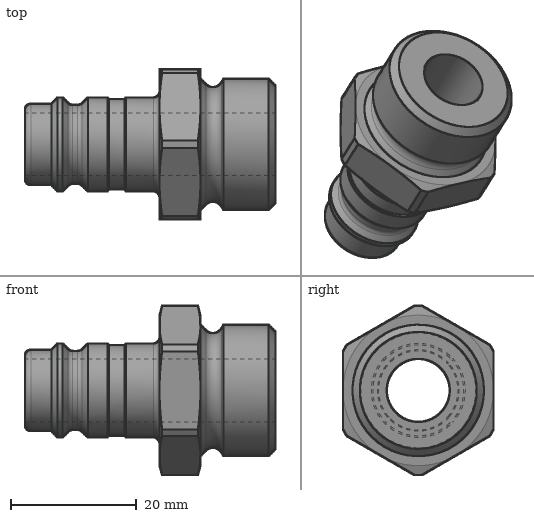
import cadquery as cq
import math


total_length = 40.0
bore_radius = 10.0 / 2

tip_radius = 13.0 / 2
tip_rounding = 1.0
shank_radius = 15.0 / 2
tip_cone_start = 4.25
groove_radius = 12.65 / 2
groove_start = 6.05
groove_end = 10.05
groove_rounding = 1.0

band_radius = 14.5 / 2
band_start = 13.15
band_end = 16.15

hex_start = 21.5
hex_end = 28.0
hex_across_flats = 24.0
hex_corner_diameter = 27.05
hex_chamfer_angle = math.radians(15)
hex_root_fillet = 1.0

thread_radius = 20.95 / 2
thread_chamfer = 1.15
undercut_radius = 9.15
undercut_rounding = 1.6
undercut_exit_angle = math.radians(60)

SLOPE = math.radians(45)


def arc_point(center, radius, angle):
    """Point on an arc, with the angle measured from straight towards the axis (+ is towards +X)."""
    return (
        center[0] + radius * math.sin(angle),
        center[1] - radius * math.cos(angle),
    )


def make_plug_end():
    """Tip, sealing groove, shank with marking band and the fillet into the hexagon."""
    tip_rise = shank_radius - tip_radius
    band_depth = shank_radius - band_radius

    wall_length = shank_radius - groove_radius
    blend_reach = groove_rounding * math.tan(SLOPE / 2)
    blend_height = groove_radius + groove_rounding
    left_blend = (groove_start + wall_length + blend_reach, blend_height)
    right_blend = (groove_end - wall_length - blend_reach, blend_height)

    tip_center = (tip_rounding, tip_radius - tip_rounding)
    fillet_center = (hex_start - hex_root_fillet, shank_radius + hex_root_fillet)

    profile = (
        cq.Workplane("XY")
        .moveTo(0, 0)
        .lineTo(0, tip_center[1])
        .threePointArc(
            arc_point(tip_center, tip_rounding, -3 * SLOPE),
            (tip_rounding, tip_radius),
        )
        .lineTo(tip_cone_start, tip_radius)
        .lineTo(tip_cone_start + tip_rise, shank_radius)
        .lineTo(groove_start, shank_radius)
        .lineTo(*arc_point(left_blend, groove_rounding, -SLOPE))
        .threePointArc(
            arc_point(left_blend, groove_rounding, -SLOPE / 2),
            arc_point(left_blend, groove_rounding, 0),
        )
        .lineTo(*arc_point(right_blend, groove_rounding, 0))
        .threePointArc(
            arc_point(right_blend, groove_rounding, SLOPE / 2),
            arc_point(right_blend, groove_rounding, SLOPE),
        )
        .lineTo(groove_end, shank_radius)
        .lineTo(band_start, shank_radius)
        .lineTo(band_start + band_depth, band_radius)
        .lineTo(band_end - band_depth, band_radius)
        .lineTo(band_end, shank_radius)
        .lineTo(fillet_center[0], shank_radius)
        .threePointArc(
            arc_point(fillet_center, hex_root_fillet, SLOPE),
            (hex_start, fillet_center[1]),
        )
        .lineTo(hex_start, 0)
        .close()
    )
    return profile.revolve(360, (0, 0, 0), (1, 0, 0))


def make_hexagon():
    """Hexagon with corners towards +Z and -Z, its corners turned down and chamfered on both faces."""
    width = hex_end - hex_start
    across_corners = hex_across_flats / math.cos(math.radians(30))
    prism = (
        cq.Workplane("YZ", origin=(hex_start, 0, 0))
        .transformed(rotate=(0, 0, 90))
        .polygon(6, across_corners)
        .extrude(width)
    )

    face_radius = hex_across_flats / 2
    corner_radius = hex_corner_diameter / 2
    chamfer_width = (corner_radius - face_radius) * math.tan(hex_chamfer_angle)
    turned_blank = (
        cq.Workplane("XY")
        .moveTo(hex_start, 0)
        .lineTo(hex_start, face_radius)
        .lineTo(hex_start + chamfer_width, corner_radius)
        .lineTo(hex_end - chamfer_width, corner_radius)
        .lineTo(hex_end, face_radius)
        .lineTo(hex_end, 0)
        .close()
        .revolve(360, (0, 0, 0), (1, 0, 0))
    )
    return prism.intersect(turned_blank)


def make_thread_end():
    """Plain thread body with the undercut behind the hexagon and a chamfered end."""
    entry_drop = thread_radius - undercut_radius - undercut_rounding * (1 - math.cos(SLOPE))
    center = (
        hex_end + entry_drop / math.tan(SLOPE) + undercut_rounding * math.sin(SLOPE),
        undercut_radius + undercut_rounding,
    )
    exit_point = arc_point(center, undercut_rounding, undercut_exit_angle)
    thread_start = exit_point[0] + (thread_radius - exit_point[1]) / math.tan(undercut_exit_angle)

    profile = (
        cq.Workplane("XY")
        .moveTo(hex_end, 0)
        .lineTo(hex_end, thread_radius)
        .lineTo(*arc_point(center, undercut_rounding, -SLOPE))
        .threePointArc(arc_point(center, undercut_rounding, 0), exit_point)
        .lineTo(thread_start, thread_radius)
        .lineTo(total_length - thread_chamfer, thread_radius)
        .lineTo(total_length, thread_radius - thread_chamfer)
        .lineTo(total_length, 0)
        .close()
    )
    return profile.revolve(360, (0, 0, 0), (1, 0, 0))


bore = cq.Workplane("YZ").circle(bore_radius).extrude(total_length)

result = make_plug_end().union(make_hexagon()).union(make_thread_end()).cut(bore)